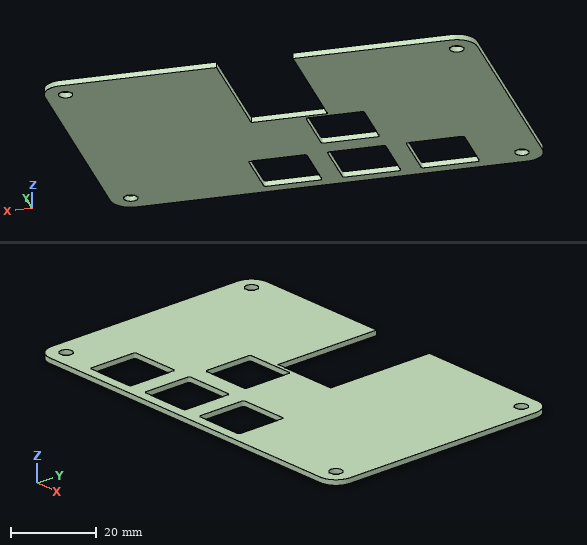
import cadquery as cq

plate_length = 104.8
plate_width = 68.1
plate_thickness = 1.5
corner_radius = 5.0

mount_hole_diameter = 3.4

key_size = 14.0
key_corner_radius = 0.5
key_pitch = 19.1
middle_key_x = -10.5
key_row_inset = 10.0
key_row_y = key_row_inset - plate_width / 2
key_centers = [(middle_key_x + step * key_pitch, key_row_y) for step in (-1, 0, 1)]
key_centers.append((middle_key_x, key_row_y + key_pitch))

notch_width = 18.5
notch_depth = 30.9
notch_center_x = 0.2


def make_plate():
    """Flat plate with rounded vertical corners."""
    plate = cq.Workplane("XY").box(
        plate_length, plate_width, plate_thickness, centered=(True, True, False)
    )
    return plate.edges("|Z").fillet(corner_radius)


def make_mount_holes():
    """Four through-hole cylinders at the corner centres."""
    spacing_x = plate_length - 2 * corner_radius
    spacing_y = plate_width - 2 * corner_radius
    return (
        cq.Workplane("XY")
        .rect(spacing_x, spacing_y, forConstruction=True)
        .vertices()
        .circle(mount_hole_diameter / 2)
        .extrude(plate_thickness)
    )


def make_key_cutouts():
    """Square through cutouts with slightly rounded corners."""
    return (
        cq.Workplane("XY")
        .pushPoints(key_centers)
        .rect(key_size, key_size)
        .extrude(plate_thickness)
        .edges("|Z")
        .fillet(key_corner_radius)
    )


def make_notch():
    """Sharp-cornered block reaching in from the back edge."""
    notch_center_y = (plate_width - notch_depth) / 2
    return (
        cq.Workplane("XY")
        .center(notch_center_x, notch_center_y)
        .rect(notch_width, notch_depth)
        .extrude(plate_thickness)
    )


result = make_plate().cut(make_mount_holes()).cut(make_key_cutouts()).cut(make_notch())